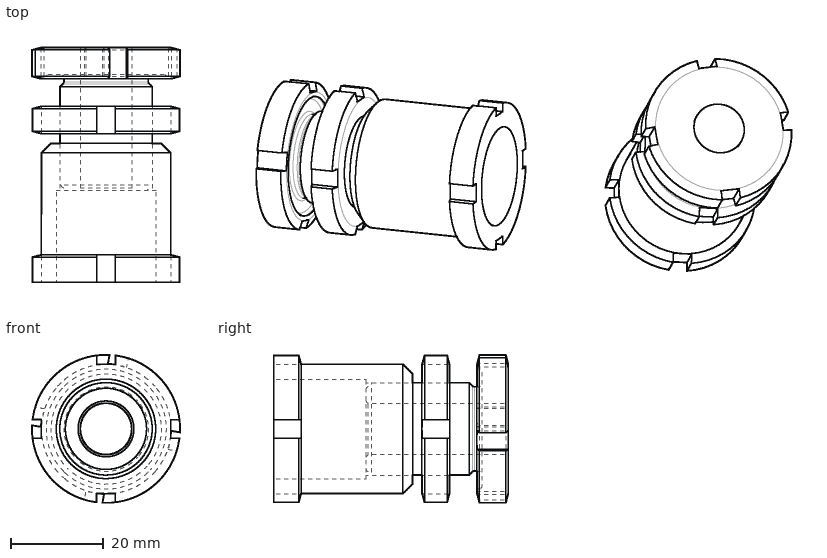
import cadquery as cq
import math

TOTAL_LENGTH = 50.65

RIM_RADIUS = 16.0
RIM_WIDTH = 6.0
FACE_RADIUS = 14.0
RIM_CHAMFER_ANGLE = 15.0
RIM_CHAMFER = (RIM_RADIUS - FACE_RADIUS) * math.tan(math.radians(RIM_CHAMFER_ANGLE))
SLOT_COUNT = 4
SLOT_WIDTH = 4.0

SOCKET_LENGTH = 30.0
SOCKET_RADIUS = FACE_RADIUS
SOCKET_CHAMFER = 2.1
BORE_RADIUS = 10.75
BORE_DEPTH = 19.85

THREAD_RADIUS = 10.0
STUD_START = BORE_DEPTH
STUD_END_CHAMFER = 1.2
STUD_HOLE_RADIUS = 5.5
STUD_HOLE_CHAMFER = 0.5
HEAD_WIDTH = 6.8
HEAD_START = TOTAL_LENGTH - HEAD_WIDTH
HEAD_TURN = 10.0
RECESS_RADIUS = 12.95
RECESS_DEPTH = 1.0
RECESS_FLOOR = HEAD_START + RECESS_DEPTH
NECK_RADIUS = 9.1
RELIEF_FILLET = 0.6
THREAD_END = 42.2
NECK_CHAMFER = THREAD_RADIUS - NECK_RADIUS
CHAMFER_ANGLE = math.radians(45)

NUT_GAP = 2.05
NUT_START = SOCKET_LENGTH + NUT_GAP


def revolve_about_y(profile):
    """Turn a closed (radius, y) outline about the Y axis."""
    return profile.close().revolve(360, (0, 0, 0), (0, 1, 0))


def cut_rim_slots(body, start, width, turn=0.0):
    """Cut the four spanner slots across a rim."""
    depth = RIM_RADIUS - FACE_RADIUS
    for index in range(SLOT_COUNT):
        slot = (
            cq.Workplane("XY")
            .box(2 * depth, width, SLOT_WIDTH)
            .translate((FACE_RADIUS + depth, start + width / 2, 0))
            .rotate((0, 0, 0), (0, 1, 0), turn + index * 360 / SLOT_COUNT)
        )
        body = body.cut(slot)
    return body


def make_socket():
    """Flanged socket with a wide bore and a stud hole through its floor."""
    profile = (
        cq.Workplane("XY")
        .moveTo(BORE_RADIUS, 0)
        .lineTo(RIM_RADIUS, 0)
        .lineTo(RIM_RADIUS, RIM_WIDTH - RIM_CHAMFER)
        .lineTo(SOCKET_RADIUS, RIM_WIDTH)
        .lineTo(SOCKET_RADIUS, SOCKET_LENGTH - SOCKET_CHAMFER)
        .lineTo(SOCKET_RADIUS - SOCKET_CHAMFER, SOCKET_LENGTH)
        .lineTo(THREAD_RADIUS, SOCKET_LENGTH)
        .lineTo(THREAD_RADIUS, BORE_DEPTH)
        .lineTo(BORE_RADIUS, BORE_DEPTH)
    )
    return cut_rim_slots(revolve_about_y(profile), 0, RIM_WIDTH)


def make_lock_nut():
    """Slotted ring nut, chamfered on both sides."""
    nut_end = NUT_START + RIM_WIDTH
    profile = (
        cq.Workplane("XY")
        .moveTo(THREAD_RADIUS, NUT_START)
        .lineTo(FACE_RADIUS, NUT_START)
        .lineTo(RIM_RADIUS, NUT_START + RIM_CHAMFER)
        .lineTo(RIM_RADIUS, nut_end - RIM_CHAMFER)
        .lineTo(FACE_RADIUS, nut_end)
        .lineTo(THREAD_RADIUS, nut_end)
    )
    return cut_rim_slots(revolve_about_y(profile), NUT_START, RIM_WIDTH)


def make_stud():
    """Hollow stud with a slotted head and a relieved neck under the head."""
    cos_45 = math.cos(CHAMFER_ANGLE)
    neck_start = THREAD_END + NECK_CHAMFER
    tangent_length = RELIEF_FILLET * math.tan(CHAMFER_ANGLE / 2)
    tangent_step = tangent_length * cos_45
    corner_offset = RELIEF_FILLET * (1 - cos_45)
    profile = (
        cq.Workplane("XY")
        .moveTo(STUD_HOLE_RADIUS + STUD_HOLE_CHAMFER, STUD_START)
        .lineTo(THREAD_RADIUS - STUD_END_CHAMFER, STUD_START)
        .lineTo(THREAD_RADIUS, STUD_START + STUD_END_CHAMFER)
        .lineTo(THREAD_RADIUS, THREAD_END)
        .lineTo(NECK_RADIUS + tangent_step, neck_start - tangent_step)
        .tangentArcPoint((NECK_RADIUS, neck_start + tangent_length), relative=False)
        .lineTo(NECK_RADIUS, RECESS_FLOOR - RELIEF_FILLET)
        .threePointArc(
            (NECK_RADIUS + corner_offset, RECESS_FLOOR - corner_offset),
            (NECK_RADIUS + RELIEF_FILLET, RECESS_FLOOR),
        )
        .lineTo(RECESS_RADIUS - RELIEF_FILLET, RECESS_FLOOR)
        .threePointArc(
            (RECESS_RADIUS - corner_offset, RECESS_FLOOR - corner_offset),
            (RECESS_RADIUS, RECESS_FLOOR - RELIEF_FILLET),
        )
        .lineTo(RECESS_RADIUS, HEAD_START)
        .lineTo(FACE_RADIUS, HEAD_START)
        .lineTo(RIM_RADIUS, HEAD_START + RIM_CHAMFER)
        .lineTo(RIM_RADIUS, TOTAL_LENGTH - RIM_CHAMFER)
        .lineTo(FACE_RADIUS, TOTAL_LENGTH)
        .lineTo(STUD_HOLE_RADIUS, TOTAL_LENGTH)
        .lineTo(STUD_HOLE_RADIUS, STUD_START + STUD_HOLE_CHAMFER)
    )
    return cut_rim_slots(revolve_about_y(profile), HEAD_START, HEAD_WIDTH, HEAD_TURN)


socket = make_socket()
lock_nut = make_lock_nut()
stud = make_stud()
result = cq.Compound.makeCompound([socket.val(), lock_nut.val(), stud.val()])